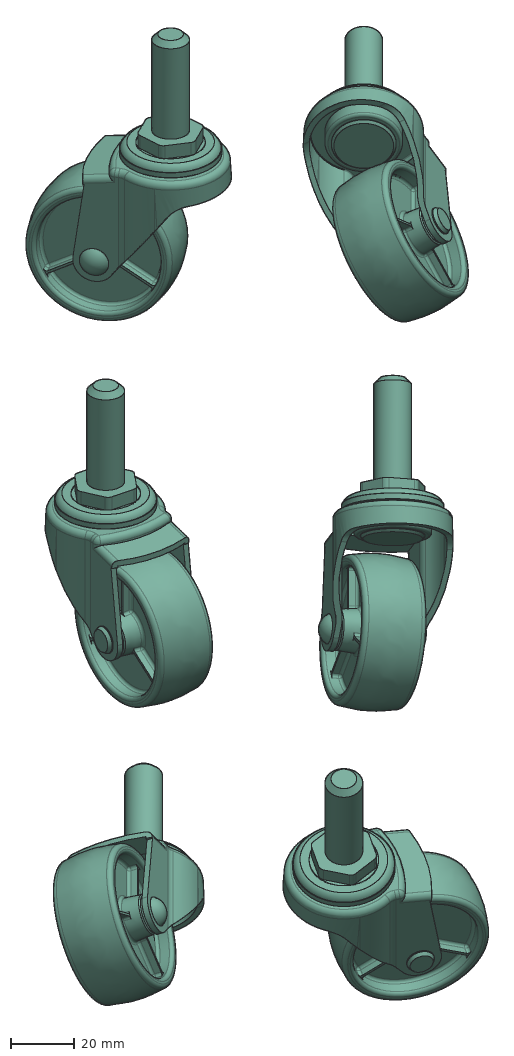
import cadquery as cq
import math


total_height = 103.0
axle_offset = 21.0
wheel_radius = 25.0

shank_diameter = 12.0
shank_chamfer = 2.0
hex_top = 68.2
hex_across_flats = 19.0
hex_corner_radius = 2.2
flange_radius = 12.4
flange_bottom = 51.7
flange_edge_radius = 1.0
foot_radius = 10.3
foot_bottom = 50.7
foot_chamfer = 0.8

cap_radius = 16.3
cap_bottom = 59.8
cap_shoulder = 61.7
cap_shoulder_ledge = 0.2
cap_top = 63.9
cap_top_radius = 13.9
cap_round_radius = 3.1
cap_recess_radius = 11.0
cap_recess_depth = 0.4
cap_neck_radius = 14.8

sheet = 2.0
platform_top = 59.1
platform_diameter = 38.0
platform_edge_radius = 2.2
platform_front = 18.7
platform_front_radius = 40.2
leg_half_width = 14.9
leg_blend_radius = 3.7
corner_radius = 2.3
rear_lean = 3.4
leg_end_radius = 7.0
leg_front_angle = 82.2
leg_rear_angle = 53.1
leg_front_top = 52.5
skirt_bottom = 50.7
skirt_end_rise = 0.5
skirt_blend_radius = 8.2
tab_reach = 27.2
tab_front_radius = 46.1
tab_slope = 10.0
tab_height = 56.2
tab_bend_radius = 2.1

wheel_half_width = 10.5
tread_edge_radius = 24.1
tread_half_width = 8.9
rim_outer_radius = 22.7
rim_wall_radius = 20.6
rim_edge_radius = 1.2
web_half_thickness = 4.9
corner_fillet = 1.0
hub_end_radius = 6.6
hub_root_radius = 7.2
hub_half_width = 12.0
hub_chamfer = 0.4
spoke_count = 3
spoke_width = 0.8
spoke_half_height = 8.2

axle_radius = 3.1
dome_radius = 4.8
dome_height = 2.9
button_radius = 4.5
button_height = 1.6
button_chamfer_height = 1.2
button_chamfer_width = 0.7

axle_height = wheel_radius
shank_radius = shank_diameter / 2
platform_radius = platform_diameter / 2
wall_top = platform_top - platform_edge_radius
platform_underside = platform_top - sheet


def on_axle_axis(body):
    """Turn a body built about Z so that its axis lies along Y on the axle."""
    return body.rotate((0, 0, 0), (1, 0, 0), -90).translate((-axle_offset, 0, axle_height))


def arc_depth(radius, half_chord):
    """Height of an arc above its chord."""
    return radius - math.sqrt(radius**2 - half_chord**2)


def make_stem():
    flange = (
        cq.Workplane("XY").workplane(offset=flange_bottom)
        .circle(flange_radius).extrude(platform_underside - flange_bottom)
        .faces("<Z").edges().fillet(flange_edge_radius)
    )
    foot = (
        cq.Workplane("XY").workplane(offset=flange_bottom)
        .circle(foot_radius).extrude(foot_bottom - flange_bottom)
        .faces("<Z").chamfer(foot_chamfer)
    )
    shank = (
        cq.Workplane("XY").workplane(offset=platform_underside)
        .circle(shank_radius).extrude(total_height - platform_underside)
        .faces(">Z").chamfer(shank_chamfer)
    )
    hex_bottom = cap_top - cap_recess_depth
    collar = (
        cq.Workplane("XY").workplane(offset=hex_bottom)
        .polygon(6, hex_across_flats / math.cos(math.pi / 6)).extrude(hex_top - hex_bottom)
        .edges("|Z").fillet(hex_corner_radius)
        .rotate((0, 0, 0), (0, 0, 1), 30)
    )
    return shank.union(collar).union(flange).union(foot)


def make_cap():
    floor = cap_top - cap_recess_depth
    return (
        cq.Workplane("XZ")
        .moveTo(shank_radius, platform_top)
        .lineTo(cap_neck_radius, platform_top)
        .lineTo(cap_neck_radius, cap_bottom)
        .lineTo(cap_radius, cap_bottom)
        .lineTo(cap_radius, cap_shoulder)
        .lineTo(cap_radius - cap_shoulder_ledge, cap_shoulder)
        .radiusArc((cap_top_radius, cap_top), -cap_round_radius)
        .lineTo(cap_recess_radius, cap_top)
        .lineTo(cap_recess_radius, floor)
        .lineTo(shank_radius, floor)
        .close()
        .revolve(360, (0, 0, 0), (0, 1, 0))
    )


def arc_fronted_block(front, front_radius, half_width, top):
    """Block from the swivel axis to a convex front, from the floor up to `top`."""
    side_x = front + arc_depth(front_radius, half_width)
    return (
        cq.Workplane("XY")
        .moveTo(0, -half_width)
        .lineTo(side_x, -half_width)
        .threePointArc((front, 0), (side_x, half_width))
        .lineTo(0, half_width)
        .close()
        .extrude(top)
    )


def platform_body(inset):
    """Platform and the walls below it down to the floor, with every face moved in by `inset`."""
    radius = platform_radius - inset
    half_width = leg_half_width - inset
    top = platform_top - inset
    behind_front = cq.Workplane("XY").box(
        2 * platform_diameter, platform_diameter, platform_top, centered=(False, True, False)
    ).translate((-leg_half_width, 0, 0))
    base = (
        arc_fronted_block(inset - platform_front, platform_front_radius - inset, half_width, top)
        .edges("|Z").edges("<X").fillet(corner_radius - inset)
        .union(cq.Workplane("XY").circle(radius).extrude(top).intersect(behind_front))
    )
    corner_x = -math.sqrt(radius**2 - half_width**2)
    for side in (-1, 1):
        corner = (corner_x, side * half_width, platform_top / 2)
        base = base.edges(cq.selectors.NearestToPointSelector(corner)).fillet(leg_blend_radius + inset)
    if inset < platform_edge_radius:
        base = base.faces(">Z").edges().fillet(platform_edge_radius - inset)

    lean = wall_top * math.tan(math.radians(rear_lean))
    half_disc = (
        cq.Workplane("XY").workplane(offset=wall_top)
        .moveTo(0, -radius).threePointArc((radius, 0), (0, radius)).close()
    )
    rear = cq.Solid.extrudeLinear(
        cq.Face.makeFromWires(half_disc.val()), cq.Vector(lean, 0, -wall_top)
    )
    wedge = (
        cq.Workplane("XZ")
        .polyline([(0, 0), (lean, 0), (0, wall_top)])
        .close()
        .extrude(radius, both=True)
    )
    return base.union(cq.Workplane(rear)).union(wedge)


def tab_body(half_width, drop, reach):
    """Block under the sloping tab, its upper face `drop` below the tab's outer face."""
    slope = math.tan(math.radians(tab_slope))
    level = tab_height - drop / math.cos(math.radians(tab_slope))
    ends = [-reach - sheet, -platform_front / 2]
    heights = [level + slope * (x + platform_front) for x in ends]
    under_slope = (
        cq.Workplane("XZ")
        .polyline([(ends[0], 0), (ends[1], 0), (ends[1], heights[1]), (ends[0], heights[0])])
        .close()
        .extrude(half_width, both=True)
    )
    return under_slope.intersect(arc_fronted_block(-reach, tab_front_radius, half_width, platform_top))


def side_profile():
    """Block with the fork's side outline, passing across its full width."""
    def end_point(angle):
        return (
            leg_end_radius * math.cos(math.radians(angle)) - axle_offset,
            leg_end_radius * math.sin(math.radians(angle)) + axle_height,
        )

    front_x, front_z = end_point(leg_front_angle + 90)
    rear_x, rear_z = end_point(leg_rear_angle - 90)
    bottom = (-axle_offset, axle_height - leg_end_radius)
    front_top_x = front_x + (leg_front_top - front_z) / math.tan(math.radians(leg_front_angle))

    rear_slope = math.radians(leg_rear_angle)
    knee_x = rear_x + (skirt_bottom - rear_z) / math.tan(rear_slope)
    setback = skirt_blend_radius * math.tan(rear_slope / 2)
    blend_start = (knee_x - setback * math.cos(rear_slope), skirt_bottom - setback * math.sin(rear_slope))
    blend_middle = (
        knee_x + setback - skirt_blend_radius * math.sin(rear_slope / 2),
        skirt_bottom - skirt_blend_radius * (1 - math.cos(rear_slope / 2)),
    )
    far = platform_diameter
    return (
        cq.Workplane("XZ")
        .moveTo(front_x, front_z)
        .threePointArc(bottom, (rear_x, rear_z))
        .lineTo(*blend_start)
        .threePointArc(blend_middle, (knee_x + setback, skirt_bottom))
        .lineTo(platform_radius, skirt_bottom + skirt_end_rise)
        .lineTo(far, skirt_bottom + skirt_end_rise)
        .lineTo(far, platform_top)
        .lineTo(-far, platform_top)
        .lineTo(-far, leg_front_top)
        .lineTo(front_top_x, leg_front_top)
        .close()
        .extrude(platform_diameter, both=True)
    )


def make_fork():
    platform = platform_body(0)
    tab = tab_body(leg_half_width, 0, tab_reach)
    bend = math.tan(math.radians(tab_slope))
    tab = tab.edges(cq.selectors.ParallelDirSelector(cq.Vector(1, 0, bend))).edges(">Z").fillet(tab_bend_radius)
    inner_width = leg_half_width - sheet
    cavity = platform_body(sheet).union(tab_body(inner_width, sheet, platform_diameter))
    leg_block = cq.Workplane("XY").box(
        platform_diameter, 2 * leg_half_width, leg_front_top, centered=(True, True, False)
    ).translate((-platform_radius, 0, 0))
    fork = platform.union(tab).union(leg_block).cut(cavity).intersect(side_profile())
    stem_hole = cq.Workplane("XY").circle(shank_radius).extrude(total_height)
    axle_hole = on_axle_axis(cq.Workplane("XY").circle(axle_radius).extrude(platform_radius, both=True))
    return fork.cut(stem_hole).cut(axle_hole)


def hub_half():
    """Tapered hub from the wheel's middle plane up, as wide as its root radius at the web."""
    return (
        cq.Workplane("XZ")
        .moveTo(0, 0)
        .lineTo(hub_root_radius, 0)
        .lineTo(hub_root_radius, web_half_thickness)
        .lineTo(hub_end_radius, hub_half_width)
        .lineTo(0, hub_half_width)
        .close()
        .revolve(360, (0, 0, 0), (0, 1, 0))
    )


def wheel_blank():
    """Disc about Z with a crowned tread, sunk inside the rim to the spoke tops, and the hub through it."""
    shoulder_bend = math.sqrt(0.5)
    shoulder_x = rim_outer_radius + (tread_edge_radius - rim_outer_radius) * shoulder_bend
    shoulder_z = tread_half_width + (wheel_half_width - tread_half_width) * shoulder_bend
    disc = (
        cq.Workplane("XZ")
        .moveTo(0, -wheel_half_width)
        .lineTo(rim_outer_radius, -wheel_half_width)
        .threePointArc((shoulder_x, -shoulder_z), (tread_edge_radius, -tread_half_width))
        .threePointArc((wheel_radius, 0), (tread_edge_radius, tread_half_width))
        .threePointArc((shoulder_x, shoulder_z), (rim_outer_radius, wheel_half_width))
        .lineTo(0, wheel_half_width)
        .close()
        .revolve(360, (0, 0, 0), (0, 1, 0))
    )
    for side in (-1, 1):
        sunk = cq.Workplane("XY").workplane(offset=side * spoke_half_height)
        disc = disc.cut(sunk.circle(rim_wall_radius).extrude(side * wheel_half_width))
    disc = disc.faces("<Z or >Z").edges(cq.selectors.RadiusNthSelector(0)).fillet(rim_edge_radius)
    hub = hub_half().faces(">Z").chamfer(hub_chamfer)
    return disc.union(hub).union(hub.mirror("XY"))


def side_recess():
    """Space between rim and hub above the web, leaving the spokes, with every inside corner rounded."""
    recess = (
        cq.Workplane("XY").workplane(offset=web_half_thickness)
        .circle(rim_wall_radius).extrude(hub_half_width - web_half_thickness)
        .cut(hub_half())
    )
    for index in range(spoke_count):
        spoke = (
            cq.Workplane("XY")
            .box(wheel_radius, spoke_width, spoke_half_height, centered=(False, True, False))
            .rotate((0, 0, 0), (0, 0, 1), index * 360 / spoke_count - 90)
        )
        recess = recess.cut(spoke)
    margin = spoke_width / 2
    spoke_corners = recess.edges(cq.selectors.BoxSelector(
        (-wheel_radius, -wheel_radius, web_half_thickness + margin),
        (wheel_radius, wheel_radius, spoke_half_height - margin),
    ))
    recess = spoke_corners.fillet(corner_fillet)
    return recess.faces("<Z").edges().fillet(corner_fillet)


def make_wheel():
    recess = side_recess()
    bore = cq.Workplane("XY").circle(axle_radius).extrude(hub_half_width, both=True)
    return on_axle_axis(wheel_blank().cut(recess).cut(recess.mirror("XY")).cut(bore))


def make_axle():
    """Rivet about Z before it is turned: dome at the -Y end, button at the +Y end."""
    shaft = cq.Workplane("XY").circle(axle_radius).extrude(leg_half_width, both=True)
    dome_sphere_radius = (dome_radius**2 + dome_height**2) / (2 * dome_height)
    dome = (
        cq.Workplane("XY").sphere(dome_sphere_radius)
        .translate((0, 0, dome_sphere_radius - dome_height - leg_half_width))
        .intersect(
            cq.Workplane("XY").workplane(offset=-leg_half_width).circle(dome_radius).extrude(-dome_height)
        )
    )
    button = (
        cq.Workplane("XY").workplane(offset=leg_half_width)
        .circle(button_radius).extrude(button_height)
        .faces(">Z").chamfer(button_chamfer_height, button_chamfer_width)
    )
    return on_axle_axis(shaft.union(dome).union(button))


stem = make_stem()
cap = make_cap()
fork = make_fork()
wheel = make_wheel()
axle = make_axle()

result = cq.Compound.makeCompound([body.solids().val() for body in (stem, cap, fork, wheel, axle)])